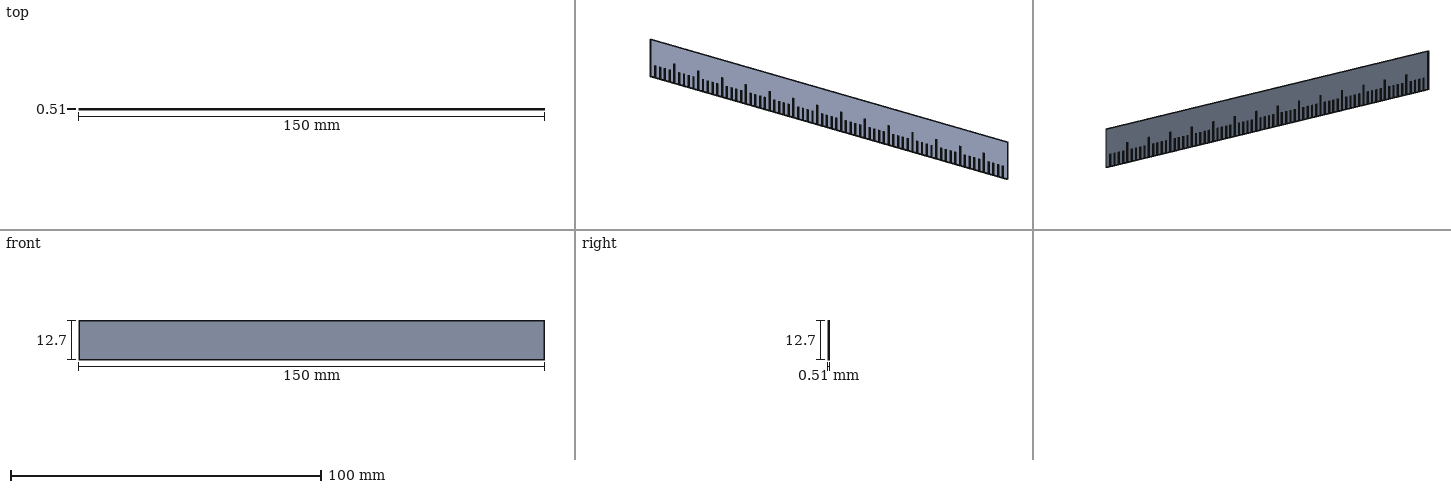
import cadquery as cq

length = 150.0
thickness = 0.508
height = 12.7

graduation_pitch = 2.0
graduations_per_long_line = 5
line_width = 0.5
line_depth = 0.127
short_line = 4.0
long_line = 6.5


def make_blade():
    return cq.Workplane("XY").box(length, thickness, height)


def graduation_cutter(number):
    """Groove for one graduation, counted from the -X end of the blade."""
    is_long = number % graduations_per_long_line == 0
    line_length = long_line if is_long else short_line
    x = number * graduation_pitch - length / 2
    groove = cq.Workplane("XY").box(line_width, line_depth, line_length, centered=(True, False, False))
    return groove.translate((x, thickness / 2 - line_depth, -height / 2)).val()


def engrave_graduations(blade):
    graduation_count = round(length / graduation_pitch)
    cutters = [graduation_cutter(number) for number in range(1, graduation_count)]
    return blade.cut(cq.Compound.makeCompound(cutters))


result = engrave_graduations(make_blade())